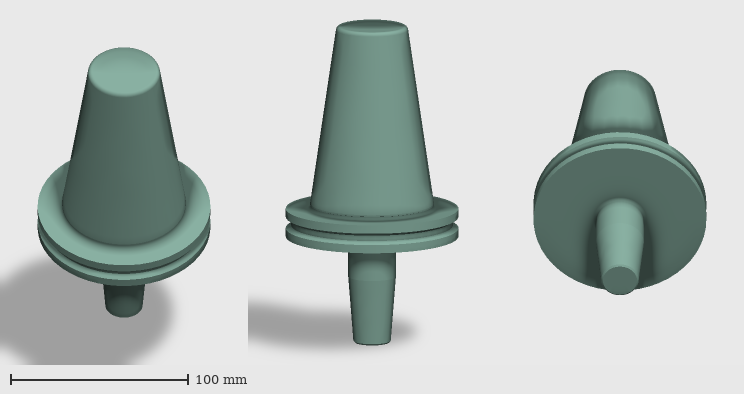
import cadquery as cq

total_height = 181.8

gauge_height = 80.0
gauge_radius = 34.9
taper_slope = 7 / 48
taper_end_radius = gauge_radius - (total_height - gauge_height) * taper_slope
taper_end_fillet = 2.4

gauge_land_height = 0.9
undercut_depth = 0.5
undercut_fillet = 2.0

flange_radius = 48.7
flange_top = 76.9
flange_bottom = 60.9
groove_middle = 68.9
groove_mouth_width = 6.5
groove_floor_width = 3.0
groove_floor_radius = 45.6

nose_radius = 13.5
nose_root_fillet = 1.6
nose_cone_top = 37.8
nose_end_radius = 10.5
nose_end_chamfer = 0.9


def revolved_body():
    """Holder body turned about Z, from the nose end up to the taper end."""
    undercut_radius = gauge_radius - undercut_depth
    land_bottom = gauge_height - gauge_land_height
    undercut_bottom = flange_top + undercut_fillet
    return (
        cq.Workplane("XZ")
        .moveTo(0, 0)
        .lineTo(nose_end_radius - nose_end_chamfer, 0)
        .lineTo(nose_end_radius, nose_end_chamfer)
        .lineTo(nose_radius, nose_cone_top)
        .lineTo(nose_radius, flange_bottom - nose_root_fillet)
        .tangentArcPoint((nose_radius + nose_root_fillet, flange_bottom), relative=False)
        .lineTo(flange_radius, flange_bottom)
        .lineTo(flange_radius, flange_top)
        .lineTo(undercut_radius + undercut_fillet, flange_top)
        .tangentArcPoint((undercut_radius, undercut_bottom), relative=False)
        .lineTo(gauge_radius, land_bottom)
        .lineTo(gauge_radius, gauge_height)
        .lineTo(taper_end_radius, total_height)
        .lineTo(0, total_height)
        .close()
        .revolve(360, (0, 0, 0), (0, 1, 0))
    )


def flange_groove():
    """Ring with a V-shaped section and a flat floor, to be cut from the rim."""
    half_mouth = groove_mouth_width / 2
    half_floor = groove_floor_width / 2
    return (
        cq.Workplane("XZ")
        .moveTo(flange_radius, groove_middle - half_mouth)
        .lineTo(flange_radius, groove_middle + half_mouth)
        .lineTo(groove_floor_radius, groove_middle + half_floor)
        .lineTo(groove_floor_radius, groove_middle - half_floor)
        .close()
        .revolve(360, (0, 0, 0), (0, 1, 0))
    )


body = revolved_body().faces(">Z").edges().fillet(taper_end_fillet)
result = body.cut(flange_groove())